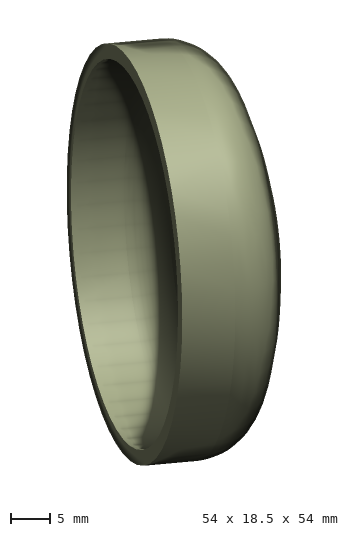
import cadquery as cq
import math

outer_diameter = 54.0
wall = 2.0
skirt_length = 7.0

inner_crown_radius = outer_diameter
inner_knuckle_radius = outer_diameter / 10

knuckle_centre_x = outer_diameter / 2 - wall - inner_knuckle_radius
centre_distance = inner_crown_radius - inner_knuckle_radius
blend_angle = math.asin(knuckle_centre_x / centre_distance)
crown_centre_y = skirt_length - centre_distance * math.cos(blend_angle)


def head_solid(offset):
    """Solid bounded by the inner skin grown outward by offset, with its open rim at Y = 0."""
    crown_radius = inner_crown_radius + offset
    knuckle_radius = inner_knuckle_radius + offset
    knuckle_mid_angle = (math.pi / 2 + blend_angle) / 2
    crown_mid_angle = blend_angle / 2

    def on_knuckle(angle):
        """Point on the knuckle arc, with the angle measured from the axis."""
        x = knuckle_centre_x + knuckle_radius * math.sin(angle)
        y = skirt_length + knuckle_radius * math.cos(angle)
        return (x, y)

    def on_crown(angle):
        """Point on the crown arc, with the angle measured from the axis."""
        x = crown_radius * math.sin(angle)
        y = crown_centre_y + crown_radius * math.cos(angle)
        return (x, y)

    skirt_radius = knuckle_centre_x + knuckle_radius
    return (
        cq.Workplane("XY")
        .moveTo(0, 0)
        .lineTo(skirt_radius, 0)
        .lineTo(skirt_radius, skirt_length)
        .threePointArc(on_knuckle(knuckle_mid_angle), on_knuckle(blend_angle))
        .threePointArc(on_crown(crown_mid_angle), on_crown(0))
        .close()
        .revolve(360, (0, 0, 0), (0, 1, 0))
    )


result = head_solid(wall).cut(head_solid(0))